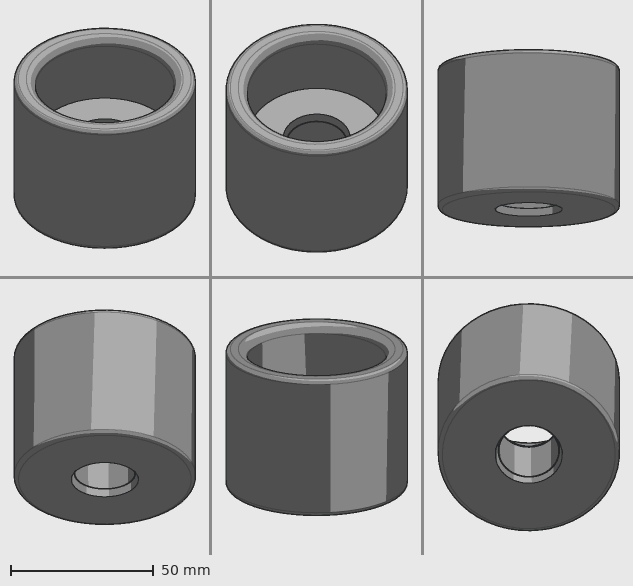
import cadquery as cq

outer_diameter = 63.5
height = 50.8
edge_radius = 1.5
bore_diameter = 48.5
bore_depth = 25.4
mouth_radius = 3.2
hole_diameter = 23.4

sleeve_bore = 20.95
sleeve_wall = 0.25
sleeve_recess = 2.55
floor_thickness = height - bore_depth
sleeve_length = floor_thickness - 2 * sleeve_recess


def make_housing():
    """Cup with rounded outer rims, a rounded bore mouth and a hole through its floor."""
    blank = (
        cq.Workplane("XY")
        .circle(outer_diameter / 2)
        .extrude(height)
        .faces("<Z or >Z")
        .edges()
        .fillet(edge_radius)
    )
    bore = (
        cq.Workplane("XY")
        .workplane(offset=floor_thickness)
        .circle(bore_diameter / 2)
        .extrude(bore_depth)
    )
    hole = cq.Workplane("XY").circle(hole_diameter / 2).extrude(floor_thickness)
    cup = blank.cut(bore)
    cup = cup.faces(">Z").edges(cq.selectors.RadiusNthSelector(0)).fillet(mouth_radius)
    return cup.cut(hole)


def make_sleeve():
    """Thin tube on the housing axis, recessed equally from both faces of the floor."""
    sleeve_radius = sleeve_bore / 2 + sleeve_wall
    return (
        cq.Workplane("XY")
        .workplane(offset=sleeve_recess)
        .circle(sleeve_radius)
        .circle(sleeve_bore / 2)
        .extrude(sleeve_length)
    )


housing = make_housing()
sleeve = make_sleeve()

result = cq.Compound.makeCompound([housing.val(), sleeve.val()])